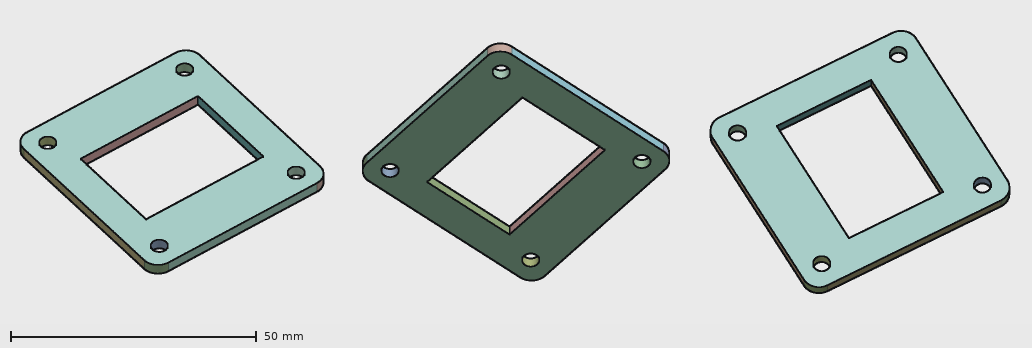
import cadquery as cq

length = 47.5
width = 45.0
thickness = 2.5
corner_radius = 3.5

window_length = 22.0
window_width = 30.0

hole_diameter = 3.5
hole_inset = 5.0
hole_spacing_x = length - 2 * hole_inset
hole_spacing_y = width - 2 * hole_inset

plate = cq.Workplane("XY").box(length, width, thickness).edges("|Z").fillet(corner_radius)

plate = plate.faces(">Z").workplane().rect(window_length, window_width).cutThruAll()

result = (
    plate.faces(">Z")
    .workplane()
    .rect(hole_spacing_x, hole_spacing_y, forConstruction=True)
    .vertices()
    .hole(hole_diameter)
)